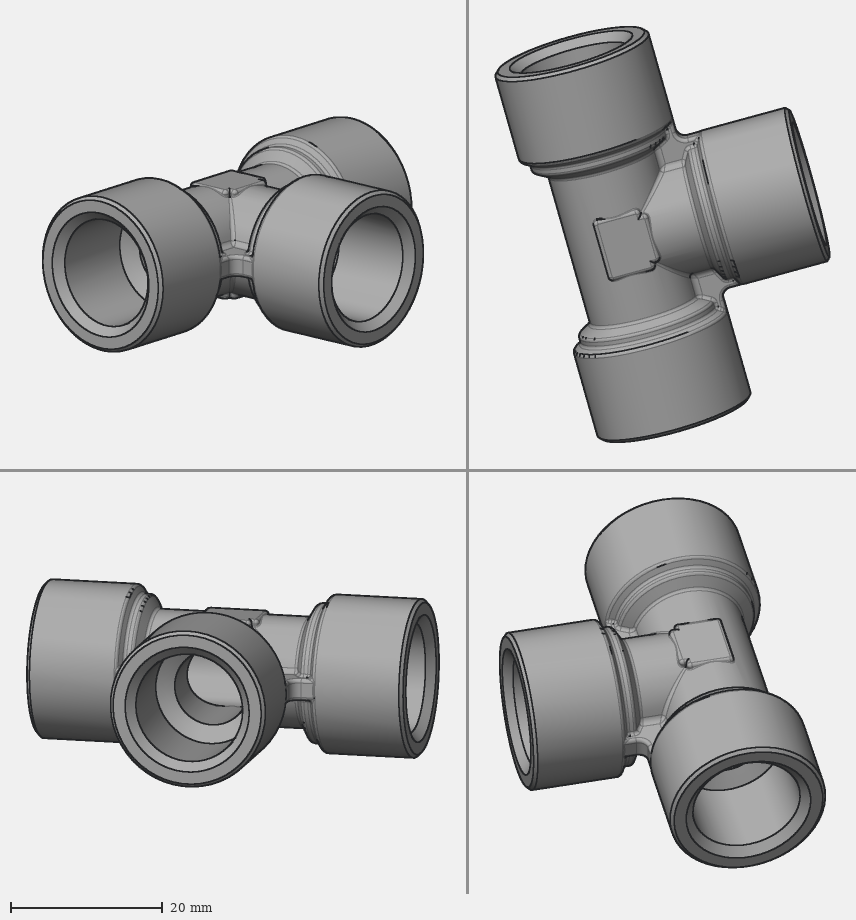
import cadquery as cq
import math

ARM_LENGTH = 25.5
SOCKET_RADIUS = 10.5
SOCKET_CHAMFER = 0.45
SOCKET_BACK = 13.3
COLLAR_RADIUS = 9.3
COLLAR_BACK = 11.5
TUBE_RADIUS = 7.4
CONE_ANGLE = 60.0
STEP_FILLET = 0.5

MOUTH_RADIUS = 8.4
SOCKET_BORE_RADIUS = 7.25
SOCKET_BORE_DEPTH = 12.25
THROUGH_RADIUS = 5.0
DRILL_POINT_ANGLE = 59.0

SADDLE_FILLET = 0.5

WEB_THICKNESS = 2.95
WEB_ROOT = 4.1
WEB_OUTER_SIDE = 10.45
WEB_CORNER_RADIUS = 1.3
WEB_EDGE_FILLET = 0.5
WEB_ROOT_FILLET = 0.95

PAD_HEIGHT = 7.5
PAD_ROOT = 5.6
PAD_BACK = -3.0
PAD_SHOULDER = 3.35
PAD_FRONT = 4.25
PAD_WIDTH = 8.45
PAD_FRONT_WIDTH = 6.75
PAD_CORNER_RADIUS = 0.6
PAD_EDGE_FILLET = 0.5
PAD_BASE_FILLET = 0.15

TOLERANCE = 0.005


def cone_length(outer_radius, inner_radius):
    """Axial length of a step cone between two radii."""
    return (outer_radius - inner_radius) / math.tan(math.radians(CONE_ANGLE))


COLLAR_FRONT = SOCKET_BACK - cone_length(SOCKET_RADIUS, COLLAR_RADIUS)
CONE_FOOT = COLLAR_BACK - cone_length(COLLAR_RADIUS, TUBE_RADIUS)
CORE_REACH = SOCKET_BACK + 2 * STEP_FILLET


def revolve_about_x(points, rounded=()):
    """Revolve (distance along X, radius) points, rounding the listed corners first."""
    face = cq.Face.makeFromWires(cq.Workplane("XZ").polyline(points).close().val())
    corners = [
        vertex
        for vertex in face.Vertices()
        if any(math.dist((vertex.X, vertex.Z), point) < TOLERANCE for point in rounded)
    ]
    if corners:
        face = face.fillet2D(STEP_FILLET, corners)
    return cq.Workplane(cq.Solid.revolve(face, 360, cq.Vector(0, 0, 0), cq.Vector(1, 0, 0)))


def on_every_arm(solid):
    """Copies of a solid built along +X, one for each arm of the tee."""
    return [solid.rotate((0, 0, 0), (0, 0, 1), angle) for angle in (0, 90, -90)]


def socket():
    steps = [
        (COLLAR_BACK, COLLAR_RADIUS),
        (COLLAR_FRONT, COLLAR_RADIUS),
        (SOCKET_BACK, SOCKET_RADIUS),
    ]
    points = [
        (CONE_FOOT, 0),
        (CONE_FOOT, TUBE_RADIUS),
        *steps,
        (ARM_LENGTH - SOCKET_CHAMFER, SOCKET_RADIUS),
        (ARM_LENGTH, SOCKET_RADIUS - SOCKET_CHAMFER),
        (ARM_LENGTH, 0),
    ]
    return revolve_about_x(points, rounded=steps)


def bore():
    """Chamfered socket bore ending in a drill point, then the through passage."""
    floor = ARM_LENGTH - SOCKET_BORE_DEPTH
    point_length = (SOCKET_BORE_RADIUS - THROUGH_RADIUS) / math.tan(math.radians(DRILL_POINT_ANGLE))
    mouth_chamfer = MOUTH_RADIUS - SOCKET_BORE_RADIUS
    return revolve_about_x([
        (0, 0),
        (0, THROUGH_RADIUS),
        (floor - point_length, THROUGH_RADIUS),
        (floor, SOCKET_BORE_RADIUS),
        (ARM_LENGTH - mouth_chamfer, SOCKET_BORE_RADIUS),
        (ARM_LENGTH, MOUTH_RADIUS),
        (ARM_LENGTH, 0),
    ])


def crossed_tubes():
    run = cq.Workplane("XZ").circle(TUBE_RADIUS).extrude(CORE_REACH, both=True)
    branch = cq.Workplane("YZ").circle(TUBE_RADIUS).extrude(CORE_REACH)
    return run.union(branch)


def web():
    """Plate in the corner between +X and +Y with a rounded, hollow outer corner."""
    arc_center = WEB_OUTER_SIDE + WEB_CORNER_RADIUS
    arc_middle = arc_center - WEB_CORNER_RADIUS * math.cos(math.radians(45))
    plate = (
        cq.Workplane("XY", origin=(0, 0, -WEB_THICKNESS / 2))
        .moveTo(WEB_ROOT, WEB_ROOT)
        .lineTo(CORE_REACH, WEB_ROOT)
        .lineTo(CORE_REACH, WEB_OUTER_SIDE)
        .lineTo(arc_center, WEB_OUTER_SIDE)
        .threePointArc((arc_middle, arc_middle), (WEB_OUTER_SIDE, arc_center))
        .lineTo(WEB_OUTER_SIDE, CORE_REACH)
        .lineTo(WEB_ROOT, CORE_REACH)
        .close()
        .extrude(WEB_THICKNESS)
    )
    return plate.edges("%CIRCLE").fillet(WEB_EDGE_FILLET)


def web_root_edges(body):
    """Edges where the flat web sides meet the tubes."""
    root_limit = (TUBE_RADIUS + SOCKET_RADIUS) / 2
    edges = []
    for edge in body.edges().vals():
        points = [edge.positionAt(t) for t in (0.3, 0.5, 0.7)]
        on_side = all(abs(abs(p.z) - WEB_THICKNESS / 2) < TOLERANCE for p in points)
        middle = points[1]
        inside = max(middle.x, abs(middle.y)) < CORE_REACH - TOLERANCE
        if on_side and inside and min(middle.x, abs(middle.y)) < root_limit:
            edges.append(edge)
    return edges


def cone_foot_edges(body):
    """Circular edges where the cones stand on the tubes."""
    return [
        edge
        for edge in body.edges("%CIRCLE").vals()
        if abs(max(edge.Center().x, abs(edge.Center().y)) - CONE_FOOT) < TOLERANCE
    ]


def pad_block(front, width):
    length = front - PAD_BACK
    plate = cq.Workplane("XY", origin=(PAD_BACK + length / 2, 0, PAD_ROOT)).rect(length, width)
    return plate.extrude(PAD_HEIGHT - PAD_ROOT).edges("|Z").fillet(PAD_CORNER_RADIUS)


def pad():
    """Stepped pad above the crossing; its lower part is buried in the tubes."""
    outline = pad_block(PAD_SHOULDER, PAD_WIDTH).union(pad_block(PAD_FRONT, PAD_FRONT_WIDTH))
    return outline.faces(">Z").edges().fillet(PAD_EDGE_FILLET)


def seam_edges(joined, first, second):
    """Edges of a joined solid that lie on the surfaces of both solids it was made from."""
    shells = [solid.shells().val() for solid in (first, second)]
    edges = []
    for edge in joined.edges().vals():
        middle = edge.positionAt(0.5)
        vertex = cq.Vertex.makeVertex(middle.x, middle.y, middle.z)
        if all(vertex.distance(shell) < TOLERANCE for shell in shells):
            edges.append(edge)
    return edges


def add_pad(body, new_pad):
    joined = body.union(new_pad)
    return joined.newObject(seam_edges(joined, body, new_pad)).fillet(PAD_BASE_FILLET)


corner_web = web()
body = crossed_tubes().union(corner_web).union(corner_web.mirror("XZ"))
body = body.newObject(web_root_edges(body)).fillet(WEB_ROOT_FILLET)
body = body.edges("%ELLIPSE").fillet(SADDLE_FILLET)

for arm_socket in on_every_arm(socket()):
    body = body.union(arm_socket)
body = body.newObject(cone_foot_edges(body)).fillet(STEP_FILLET)

top_pad = pad()
body = add_pad(body, top_pad)
body = add_pad(body, top_pad.mirror("XY"))

for arm_bore in on_every_arm(bore()):
    body = body.cut(arm_bore)

result = body